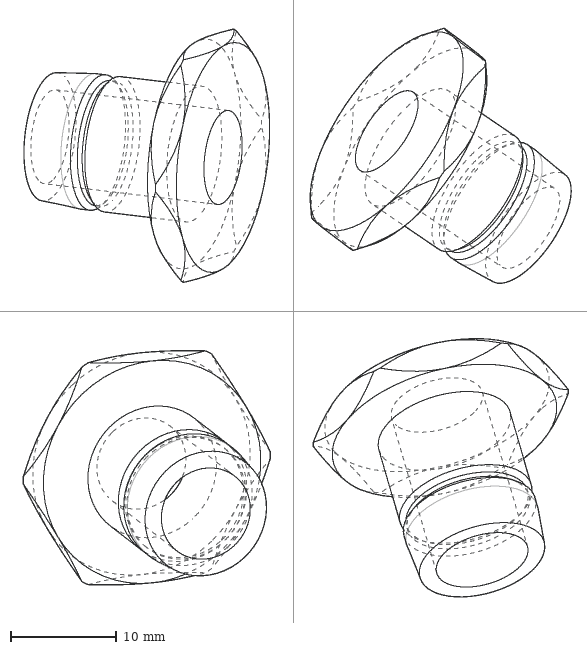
import cadquery as cq
import math

total_length = 18
flange_thickness = 3
across_flats = 22
flange_crest_diameter = 25
barrel_diameter = 13
bore_diameter = 9

tip_diameter = 12.3
tip_length = 4
groove_start = 5
groove_depth = 0.5
groove_floor_width = 0.5

flange_start = total_length - flange_thickness
barrel_radius = barrel_diameter / 2
tip_radius = tip_diameter / 2


def make_barrel():
    """Revolve the barrel outline, with its tapered tip and 45-degree-sided groove."""
    floor_radius = barrel_radius - groove_depth
    floor_start = groove_start + groove_depth
    floor_end = floor_start + groove_floor_width
    groove_end = floor_end + groove_depth
    return (
        cq.Workplane("XZ")
        .moveTo(0, 0)
        .lineTo(0, tip_radius)
        .lineTo(tip_length, barrel_radius)
        .lineTo(groove_start, barrel_radius)
        .lineTo(floor_start, floor_radius)
        .lineTo(floor_end, floor_radius)
        .lineTo(groove_end, barrel_radius)
        .lineTo(total_length, barrel_radius)
        .lineTo(total_length, 0)
        .close()
        .revolve(360, (0, 0), (1, 0))
    )


def make_flange():
    """Hexagon with flats facing +/-Z, its corners beveled from both faces to a central crest."""
    across_corners = across_flats / math.cos(math.pi / 6)
    hexagon = (
        cq.Workplane("YZ", origin=(flange_start, 0, 0))
        .polygon(6, across_corners)
        .extrude(flange_thickness)
    )
    bevel_envelope = (
        cq.Workplane("XY")
        .moveTo(flange_start, 0)
        .lineTo(flange_start, across_flats / 2)
        .lineTo(flange_start + flange_thickness / 2, flange_crest_diameter / 2)
        .lineTo(total_length, across_flats / 2)
        .lineTo(total_length, 0)
        .close()
        .revolve(360, (0, 0), (1, 0))
    )
    return hexagon.intersect(bevel_envelope)


bore = cq.Workplane("YZ").circle(bore_diameter / 2).extrude(total_length)

result = make_barrel().union(make_flange()).cut(bore)